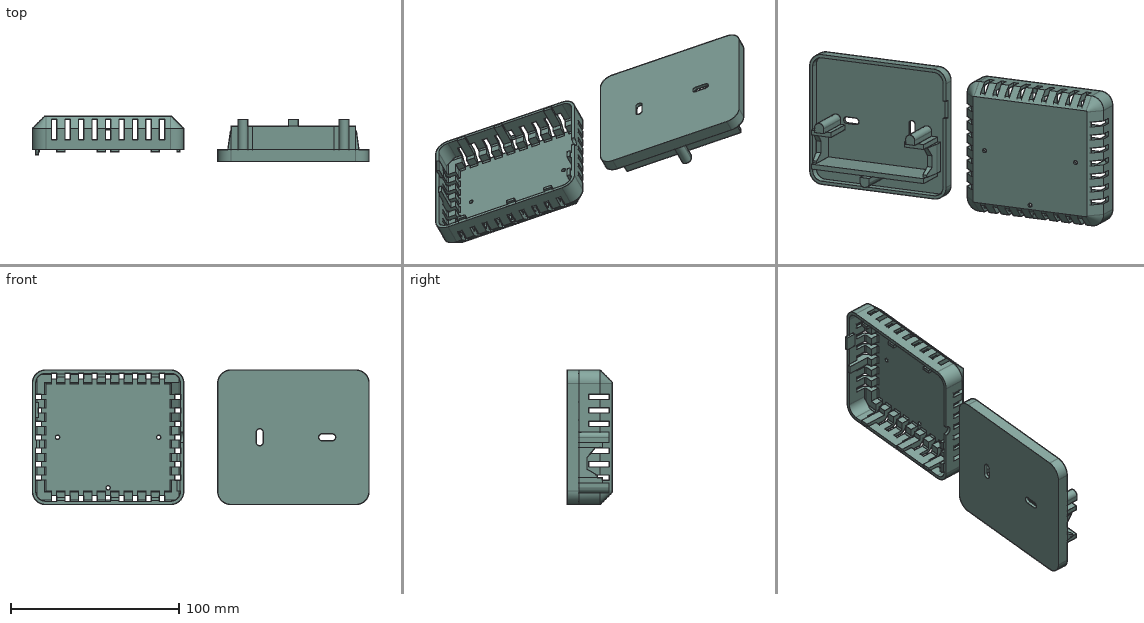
import cadquery as cq
import math


width = 90.0
height = 80.0
body_gap = 20.0
wall = 2.0
corner_radius = 8.0
mid_x = width / 2
base_x = width + body_gap

cover_depth = 20.0
back_chamfer = 7.5
chamfer_angle = 45.0
chamfer_y = cover_depth - back_chamfer
floor_y = cover_depth - wall
cavity_setback = wall * math.tan(math.radians(chamfer_angle / 2))
cavity_chamfer_y = chamfer_y - cavity_setback
cavity_chamfer = floor_y - cavity_chamfer_y
block_front_y = chamfer_y
block_reach = back_chamfer
bevel_z = 8.0
bevel_end_y = 16.5

slot_pitch = 8.0
slot_width = 3.0
slot_front_y = 6.0
slot_reach = 10.0
top_slot_count = 9
side_slot_count = 7

rib_inset = 4.2
lip_inset = 2.5
lip_height = 1.2
top_rib_gaps = (0, 3, 7)
bottom_rib_gaps = (0, 4, 7)
left_rib_gap = 2
right_rib_gap = 1
tab_z = 16.2
tab_length = 9.0
tab_thickness = 1.5
tab_height = 3.0

post_offset = 30.0
post_diameter = 6.0
pilot_diameter = 2.5
cable_diameter = 6.0
post_sites = ((-post_offset, 0), (post_offset, 0), (0, -post_offset))

base_depth = 7.0
base_floor_y = wall - base_depth
tab_notch_bottom = 10.5
tab_notch_top = 21.0
tab_notch_depth = 2.5
keyhole_offset = 20.0
keyhole_length = 10.0
keyhole_width = 4.0

holder_height = 14.0
holder_width = 74.0
holder_wall = 3.0
upper_wall_top = -3.0
upper_wall_length = 12.8
lower_wall_top = -24.0
end_flare = 2.0
end_thickness = 2.0
end_sill_y = 5.0
upper_gusset_y = 10.0
upper_gusset_length = 6.0
lower_gusset_y = 11.0
lower_gusset_rise = 1.5
lower_gusset_length = 5.0


def block(x0, x1, y0, y1, z0, z1):
    """Box given by its limits along each axis."""
    return cq.Workplane("XY").box(x1 - x0, y1 - y0, z1 - z0, centered=False).translate((x0, y0, z0))


def rounded_slab(inset, y0, y1):
    """Slab with the shared outline, moved inwards by an inset."""
    slab = block(inset, width - inset, y0, y1, inset - height / 2, height / 2 - inset)
    return slab.edges("|Y").fillet(corner_radius - inset)


def rod(x, z, diameter, y0, y1):
    """Cylinder along Y."""
    return cq.Workplane("XZ", origin=(x, y0, z)).circle(diameter / 2).extrude(y0 - y1)


def slot_offsets(count):
    """Slot centres, spread evenly about zero."""
    return [(i - (count - 1) / 2) * slot_pitch for i in range(count)]


def wall_block(side, along0, along1, inset0, inset1, y0, y1):
    """Box beside one cover wall, at a range of insets from the outer face of that wall."""
    if side == "left":
        return block(inset0, inset1, y0, y1, along0, along1)
    if side == "right":
        return block(width - inset1, width - inset0, y0, y1, along0, along1)
    x0 = mid_x + along0
    x1 = mid_x + along1
    if side == "bottom":
        return block(x0, x1, y0, y1, inset0 - height / 2, inset1 - height / 2)
    return block(x0, x1, y0, y1, height / 2 - inset1, height / 2 - inset0)


def cover_hull():
    return rounded_slab(0, 0, cover_depth).faces(">Y").edges().chamfer(back_chamfer)


def cover_cavity():
    """Inside space that follows the outer shape one wall thickness in."""
    tapered = block(wall, width - wall, 0, floor_y, wall - height / 2, height / 2 - wall)
    tapered = tapered.faces(">Y").edges().chamfer(cavity_chamfer)
    return tapered.intersect(rounded_slab(wall, 0, floor_y))


def block_bevel():
    """Corner cut off the blocks at the upper right."""
    block_x = width - block_reach
    slope_x = width - wall - cavity_setback
    triangle = [(slope_x, block_front_y), (block_x, block_front_y), (block_x, bevel_end_y)]
    bevel = cq.Workplane("XY", origin=(0, 0, bevel_z)).polyline(triangle).close()
    return bevel.extrude(height / 2 - block_reach - bevel_z)


def edge_blocks():
    """Frame that squares off the sloped edge of the cavity, bevelled at the upper right."""
    half = height / 2
    frame = block(0, width, block_front_y, floor_y, -half, half)
    frame = frame.cut(block(block_reach, width - block_reach, block_front_y, floor_y,
                            block_reach - half, half - block_reach))
    return frame.cut(block_bevel())


def cut_slots(body):
    for sides, count in ((("top", "bottom"), top_slot_count), (("left", "right"), side_slot_count)):
        for side in sides:
            for centre in slot_offsets(count):
                body = body.cut(wall_block(side, centre - slot_width / 2, centre + slot_width / 2,
                                           0, slot_reach, slot_front_y, floor_y))
    return body


def slot_bars(shell):
    """Small bars across the middle slots of the top and bottom walls."""
    half = slot_width / 2
    bars = [wall_block(side, -half, half, 0, slot_reach, cavity_chamfer_y, chamfer_y)
            for side in ("top", "bottom")]
    return [shell.intersect(bar) for bar in bars]


def rib(side, start, end):
    """Rib from the blocks to the rim, with a lip that stands past the rim."""
    root = wall_block(side, start, end, wall / 2, rib_inset, 0, block_front_y)
    lip = wall_block(side, start, end, lip_inset, rib_inset, -lip_height, 0)
    return root.union(lip)


def rib_between(side, count, gap):
    """Rib that fills the space between two neighbouring slots."""
    centres = slot_offsets(count)
    return rib(side, centres[gap] + slot_width / 2, centres[gap + 1] - slot_width / 2)


def cover_ribs():
    ribs = [rib_between("top", top_slot_count, gap) for gap in top_rib_gaps]
    ribs += [rib_between("bottom", top_slot_count, gap) for gap in bottom_rib_gaps]
    ribs.append(rib_between("left", side_slot_count, left_rib_gap))
    ribs.append(rib_between("right", side_slot_count, right_rib_gap))
    lowest_slot = slot_offsets(side_slot_count)[0]
    ribs.append(rib("right", corner_radius - height / 2, lowest_slot - slot_width / 2))
    return ribs


def cover_tab():
    return wall_block("left", tab_z - tab_length / 2, tab_z + tab_length / 2,
                      wall, wall + tab_thickness, -tab_height, tab_height)


def make_cover():
    cavity = cover_cavity()
    hull = cover_hull()
    shell = hull.cut(cavity)
    cover = cut_slots(hull.cut(cavity.cut(edge_blocks())))
    for part in [*slot_bars(shell), *cover_ribs(), cover_tab()]:
        cover = cover.union(part)
    for x, z in post_sites:
        cover = cover.cut(rod(mid_x + x, z, pilot_diameter, floor_y, cover_depth))
    cable_notch = cq.Workplane("YZ", origin=(width - wall, 0, 0)).circle(cable_diameter / 2).extrude(wall)
    return cover.cut(cable_notch)


def base_tray():
    tray = rounded_slab(0, -base_depth, 0).cut(rounded_slab(wall, base_floor_y, 0))
    tray = tray.cut(block(0, wall, -tab_notch_depth, 0, tab_notch_bottom, tab_notch_top))
    for side, angle in ((-1, 90), (1, 0)):
        keyhole = cq.Workplane("XZ", origin=(mid_x + side * keyhole_offset, base_floor_y, 0))
        tray = tray.cut(keyhole.slot2D(keyhole_length, keyhole_width, angle).extrude(wall))
    return tray


def post(x, z, wall_z):
    """Round post with a straight web that joins it to a holder wall."""
    radius = post_diameter / 2
    web = block(x - radius, x + radius, base_floor_y, floor_y, min(z, wall_z), max(z, wall_z))
    return rod(x, z, post_diameter, base_floor_y, floor_y).union(web)


def base_posts():
    posts = []
    for x, z in post_sites:
        wall_z = upper_wall_top if z == 0 else lower_wall_top - holder_wall
        posts.append(post(mid_x + x, z, wall_z))
    return posts


def holder_walls():
    left = mid_x - holder_width / 2
    right = mid_x + holder_width / 2
    upper_bottom = upper_wall_top - holder_wall
    lower_bottom = lower_wall_top - holder_wall
    return [
        block(left, left + upper_wall_length, base_floor_y, holder_height, upper_bottom, upper_wall_top),
        block(right - upper_wall_length, right, base_floor_y, holder_height, upper_bottom, upper_wall_top),
        block(left, right, base_floor_y, holder_height, lower_bottom, lower_wall_top),
    ]


def holder_end():
    """Left end wall of the holder: low in the middle, raised at both walls, flared towards the base."""
    left = mid_x - holder_width / 2
    upper_bottom = upper_wall_top - holder_wall
    profile = [
        (base_floor_y, upper_bottom),
        (upper_gusset_y, upper_bottom),
        (end_sill_y, upper_bottom - upper_gusset_length),
        (end_sill_y, lower_wall_top + lower_gusset_length),
        (lower_gusset_y, lower_wall_top + lower_gusset_rise),
        (lower_gusset_y, lower_wall_top),
        (base_floor_y, lower_wall_top),
    ]
    outline = cq.Workplane("YZ", origin=(left - 2 * end_flare, 0, 0)).polyline(profile).close()
    plate = outline.extrude(2 * end_flare + end_thickness)
    flare_profile = [
        (left + end_thickness, base_floor_y),
        (left + end_thickness, holder_height),
        (left, holder_height),
        (left - end_flare, 0),
        (left - end_flare, base_floor_y),
    ]
    flare = cq.Workplane("XY", origin=(0, 0, lower_wall_top)).polyline(flare_profile).close()
    return plate.intersect(flare.extrude(upper_bottom - lower_wall_top))


def make_base():
    base = base_tray()
    left_end = holder_end()
    right_end = left_end.mirror("YZ", (mid_x, 0, 0))
    for part in [*holder_walls(), left_end, right_end, *base_posts()]:
        base = base.union(part)
    return base.translate((base_x, 0, 0))


cover = make_cover()
base = make_base()
result = cq.Compound.makeCompound([cover.val(), base.val()])